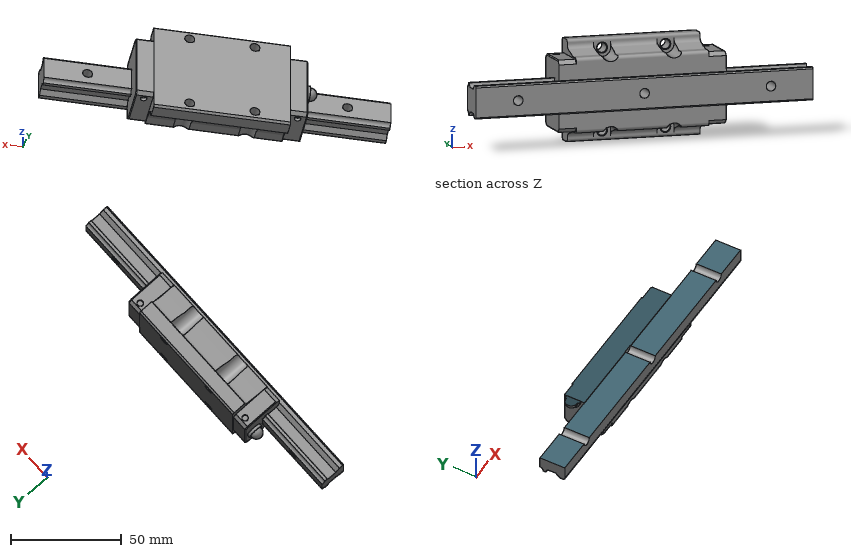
import cadquery as cq


rail_length = 160.0
rail_height = 13.1
rail_half_width = 7.5
rail_neck_half_width = 5.6
rail_base_chamfer = 0.6
rail_base_side_top = 2.5
rail_neck_bottom = 4.8
rail_neck_top = 8.2
rail_rib_bottom = 10.0
rail_rib_top = 11.4
race_radius = 1.8
rail_hole_pitch = 60.0
rail_hole_diameter = 4.5

carriage_top = 24.0
carriage_bottom = 2.9
carriage_length = 79.4
block_length = 63.0
block_half_width = 17.3
block_corner_radius = 1.6
flange_half_width = 23.5
flange_bottom = 16.3
flange_top_chamfer = 1.0
flange_lower_radius = 1.3
flange_root_half_width = 19.8
flange_root_radius = 2.4
flank_lower_y = 8.2
flank_lower_radius = 1.6

mount_hole_pitch_x = 30.0
mount_hole_pitch_z = 38.0
mount_hole_diameter = 4.5
mount_hole_chamfer = 0.3
mount_relief_diameter = 8.2

cap_length = (carriage_length - block_length) / 2
cap_top = 23.5
cap_half_width = 16.6
cap_lower_chamfer = 2.0
cap_upper_chamfer = 1.6
cap_rim_chamfer = 0.5
cap_side_hole_diameter = 2.9
cap_side_hole_depth = 1.6
cap_side_hole_x = 35.5
cap_side_hole_y = 20.0

nipple_y = 18.5
nipple_collar_radius = 3.8
nipple_collar_thickness = 1.5
nipple_neck_length = 0.5
nipple_dome_radius = 3.0


def both_sides(half):
    """Join a half-section extruded on the +Z side with its mirror image."""
    return half.union(half.mirror("XY"))


def make_rail_bar():
    half = (
        cq.Workplane("YZ")
        .workplane(offset=-rail_length / 2)
        .moveTo(0, 0)
        .lineTo(0, rail_half_width - rail_base_chamfer)
        .lineTo(rail_base_chamfer, rail_half_width)
        .lineTo(rail_base_side_top, rail_half_width)
        .lineTo(rail_neck_bottom, rail_neck_half_width)
        .lineTo(rail_neck_top, rail_neck_half_width)
        .radiusArc((rail_rib_bottom, rail_half_width), -race_radius)
        .lineTo(rail_rib_top, rail_half_width)
        .radiusArc((rail_height, rail_neck_half_width), -race_radius)
        .lineTo(rail_height, 0)
        .close()
        .extrude(rail_length)
    )
    return both_sides(half)


def cylinder_along_y(diameter, x, z, y_start, y_end):
    return cq.Workplane(
        cq.Solid.makeCylinder(diameter / 2, y_end - y_start, cq.Vector(x, y_start, z), cq.Vector(0, 1, 0))
    )


def make_rail():
    rail = make_rail_bar()
    for x in (-rail_hole_pitch, 0, rail_hole_pitch):
        rail = rail.cut(cylinder_along_y(rail_hole_diameter, x, 0, 0, rail_height))
    return rail


def edge_at(y, z):
    """Selector for the edge along X that passes through the given corner of a section."""
    return cq.selectors.NearestToPointSelector((0, y, z))


def make_block():
    half = (
        cq.Workplane("YZ")
        .workplane(offset=-block_length / 2)
        .moveTo(carriage_bottom, 0)
        .lineTo(carriage_bottom, block_half_width)
        .lineTo(flank_lower_y, block_half_width)
        .lineTo(flange_bottom, flange_root_half_width)
        .lineTo(flange_bottom, flange_half_width)
        .lineTo(carriage_top, flange_half_width)
        .lineTo(carriage_top, 0)
        .close()
        .extrude(block_length)
    )
    half = half.edges(edge_at(carriage_top, flange_half_width)).chamfer(flange_top_chamfer)
    half = half.edges(edge_at(flange_bottom, flange_half_width)).fillet(flange_lower_radius)
    half = half.edges(edge_at(flange_bottom, flange_root_half_width)).fillet(flange_root_radius)
    half = half.edges(edge_at(flank_lower_y, block_half_width)).fillet(flank_lower_radius)
    half = half.edges(edge_at(carriage_bottom, block_half_width)).fillet(block_corner_radius)
    return both_sides(half)


def make_cap(end):
    """End cap on the -X end (end = -1) or the +X end (end = 1)."""
    cap = (
        cq.Workplane("XY")
        .box(cap_length, cap_top - carriage_bottom, 2 * cap_half_width)
        .translate((end * (block_length + cap_length) / 2, (cap_top + carriage_bottom) / 2, 0))
    )
    cap = cap.edges("|X and <Y").chamfer(cap_lower_chamfer)
    cap = cap.edges("|X and >Y").chamfer(cap_upper_chamfer)
    lower_edges = cq.selectors.BoxSelector(
        (-carriage_length, 0, -cap_half_width),
        (carriage_length, carriage_bottom + cap_lower_chamfer, cap_half_width),
    )
    end_edges = cap.faces(">X" if end > 0 else "<X").edges()
    rim_edges = end_edges.edges(cq.selectors.SubtractSelector(cq.Selector(), lower_edges))
    cap = rim_edges.chamfer(cap_rim_chamfer)
    for side in (-1, 1):
        hole = cq.Solid.makeCylinder(
            cap_side_hole_diameter / 2,
            cap_side_hole_depth,
            cq.Vector(end * cap_side_hole_x, cap_side_hole_y, side * cap_half_width),
            cq.Vector(0, 0, -side),
        )
        cap = cap.cut(cq.Workplane(hole))
    return cap


def make_mount_relief(x, side):
    """U-shaped clearance below the flange, open outwards, around one mounting hole."""
    hole_z = mount_hole_pitch_z / 2
    slot_length = flange_half_width - hole_z
    relief_depth = flange_bottom - carriage_bottom
    relief = cylinder_along_y(mount_relief_diameter, x, side * hole_z, carriage_bottom, flange_bottom)
    slot = (
        cq.Workplane("XY")
        .box(mount_relief_diameter, relief_depth, slot_length)
        .translate((x, carriage_bottom + relief_depth / 2, side * (hole_z + slot_length / 2)))
    )
    return relief.union(slot)


def make_mount_hole(x, z):
    """Through hole with a chamfered mouth on the underside of the flange."""
    mouth_radius = mount_hole_diameter / 2 + mount_hole_chamfer
    mouth = cq.Solid.makeCone(
        mouth_radius, 0, mouth_radius, cq.Vector(x, flange_bottom, z), cq.Vector(0, 1, 0)
    )
    return cylinder_along_y(mount_hole_diameter, x, z, flange_bottom, carriage_top).union(cq.Workplane(mouth))


def make_carriage():
    carriage = make_block()
    for end in (-1, 1):
        carriage = carriage.union(make_cap(end))
    for x in (-mount_hole_pitch_x / 2, mount_hole_pitch_x / 2):
        for side in (-1, 1):
            carriage = carriage.cut(make_mount_relief(x, side))
            carriage = carriage.cut(make_mount_hole(x, side * mount_hole_pitch_z / 2))
    return carriage.cut(make_rail_bar())


def make_grease_nipple():
    collar_end = -carriage_length / 2 - nipple_collar_thickness
    dome_base = collar_end - nipple_neck_length
    return (
        cq.Workplane("XY")
        .moveTo(-carriage_length / 2, 0)
        .lineTo(-carriage_length / 2, nipple_collar_radius)
        .lineTo(collar_end, nipple_collar_radius)
        .lineTo(collar_end, nipple_dome_radius)
        .lineTo(dome_base, nipple_dome_radius)
        .radiusArc((dome_base - nipple_dome_radius, 0), -nipple_dome_radius)
        .close()
        .revolve(360, (0, 0, 0), (1, 0, 0))
        .translate((0, nipple_y, 0))
    )


rail = make_rail()
carriage = make_carriage()
grease_nipple = make_grease_nipple()

result = cq.Compound.makeCompound([body.solids().val() for body in (rail, carriage, grease_nipple)])